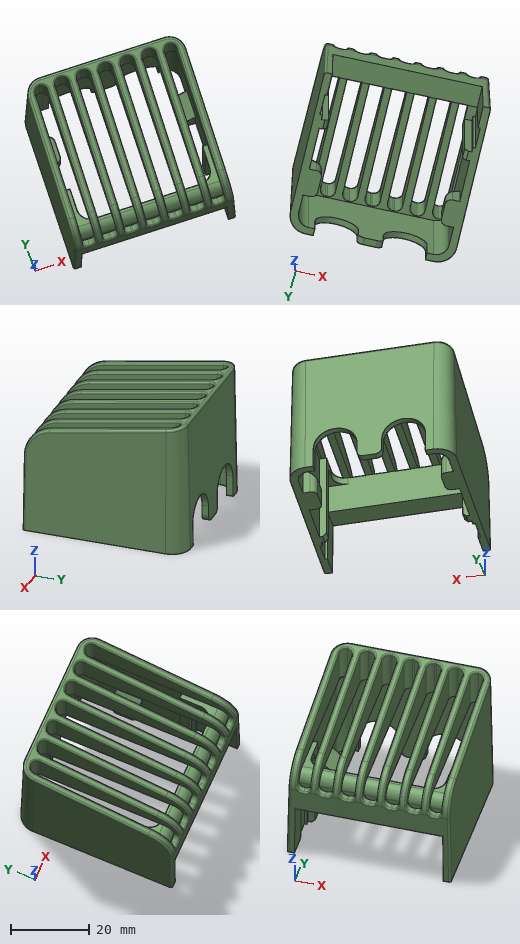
import cadquery as cq
import math


WIDTH = 43.67
DEPTH = 43.99
SIDE_DRAFT = 1.1
FRONT_DRAFT = 0.5
REAR_CORNER_RADIUS = 5.0
ROOF_ANGLE = 10.0
ROOF_REAR_HEIGHT = 35.85
BROW_RADIUS = 8.3
OUTER_EDGE_FILLET = 0.6

SLOT_COUNT = 7
SLOT_PITCH = 5.88
SLOT_WIDTH = 3.95
END_SLOT_WIDTH = 3.52
SLOT_CORNER_RADIUS = 1.75
SLOT_REAR = 19.8
END_SLOT_REAR = 19.4
SLOT_FLOOR = 21.15
SLOT_EDGE_FILLET = 0.45

BLOCK_FRONT = -19.84
BLOCK_REAR = -16.05
BLOCK_NOSE_RADIUS = 3.0
LINTEL_BOTTOM = 15.15

CAVITY_TOP = 25.47
CAVITY_HALF_WIDTH = 19.75
CAVITY_REAR = 20.1
CAVITY_CORNER_RADIUS = 3.4
OPENING_HALF_WIDTH_TOP = 19.62
OPENING_HALF_WIDTH_BOTTOM = 19.8
RECESS_HALF_WIDTH = 20.4
RECESS_REAR = -10.5

RIB_INNER_X = 17.86
RIB_FRONT = -9.3
RIB_REAR = -6.8
RIB_LEAD_IN = 1.0
GUSSET_THICKNESS = 2.0
GUSSET_FILLET = 3.5

TAB_INNER_X = 16.25
TAB_FRONT = 4.55
TAB_REAR = 11.8
TAB_CREST_HEIGHT = 4.9
TAB_SLOPE_RISE = 1.3
TAB_SLOPE_RUN = 1.6
TAB_CORNER_RADIUS = RIB_INNER_X - TAB_INNER_X

ARCH_OFFSET = 9.0
ARCH_RADIUS = 5.73
ARCH_TOP = 11.5
TONGUE_BOTTOM = 1.18
TONGUE_CORNER_RADIUS = 1.6

OVERCUT = 2.0
WALL_OVERLAP = 0.5


def box(x_min, x_max, y_min, y_max, z_min, z_max):
    size = (x_max - x_min, y_max - y_min, z_max - z_min)
    return cq.Workplane("XY").box(*size, centered=False).translate((x_min, y_min, z_min))


def both_sides(solid):
    """A feature of the +X side together with its mirror image on the -X side."""
    return solid.union(solid.mirror("YZ"))


def make_shell():
    """Solid outer form: drafted walls, sloping roof, rounded brow and softened roof edges."""
    side_draft = math.tan(math.radians(SIDE_DRAFT))
    front_draft = math.tan(math.radians(FRONT_DRAFT))
    slope = math.tan(math.radians(ROOF_ANGLE))
    front_y = -DEPTH / 2
    rear_y = DEPTH / 2
    roof_rear_y = rear_y - ROOF_REAR_HEIGHT * side_draft
    brow_height = (ROOF_REAR_HEIGHT - slope * (roof_rear_y - front_y)) / (1 - slope * front_draft)
    brow_y = front_y + brow_height * front_draft

    side_profile = (
        cq.Workplane("YZ")
        .polyline([(front_y, 0), (rear_y, 0), (roof_rear_y, ROOF_REAR_HEIGHT), (brow_y, brow_height)])
        .close()
        .extrude(WIDTH / 2, both=True)
    )
    plan_depth = DEPTH + 2 * OVERCUT
    plan = cq.Sketch().rect(WIDTH, plan_depth).vertices(">Y").fillet(REAR_CORNER_RADIUS)
    walls = (
        cq.Workplane("XY", origin=(0, rear_y - plan_depth / 2, 0))
        .placeSketch(plan)
        .extrude(ROOF_REAR_HEIGHT + OVERCUT, taper=SIDE_DRAFT)
    )
    shell = side_profile.intersect(walls)
    shell = shell.edges(cq.selectors.NearestToPointSelector((0, brow_y, brow_height))).fillet(BROW_RADIUS)
    front_corner = cq.selectors.NearestToPointSelector((WIDTH / 2, front_y, brow_height / 3))
    return shell.edges(front_corner).fillet(OUTER_EDGE_FILLET)


def slot_center(index):
    return (index - (SLOT_COUNT - 1) / 2) * SLOT_PITCH


def make_slots():
    """All slot cutters: vertical round rear ends, round floors at the front."""
    reach = WIDTH + DEPTH
    slots = cq.Workplane("XY")
    for index in range(SLOT_COUNT):
        x = slot_center(index)
        is_end = index in (0, SLOT_COUNT - 1)
        width = END_SLOT_WIDTH if is_end else SLOT_WIDTH
        rear = END_SLOT_REAR if is_end else SLOT_REAR
        inward = math.copysign((SLOT_WIDTH - width) / 2, -x)
        slot = box(-width / 2, width / 2, -DEPTH, rear, SLOT_FLOOR, reach)
        slot = slot.edges("|Z and >Y").fillet(SLOT_CORNER_RADIUS)
        slot = slot.edges("|Y and <Z").fillet(SLOT_CORNER_RADIUS)
        slots = slots.add(slot.translate((x + inward, 0, 0)))
    return slots.combine()


def cut_grille(shell):
    """Cut the slots and round their mouths where they break through the roof and brow."""
    slotted = shell.cut(make_slots())
    mouth_edges = []
    for index in range(SLOT_COUNT):
        x = slot_center(index)
        mouth_rear = cq.selectors.NearestToPointSelector((x, SLOT_REAR, ROOF_REAR_HEIGHT))
        mouth_edges += slotted.edges(mouth_rear).vals()
    return slotted.newObject(mouth_edges).fillet(SLOT_EDGE_FILLET)


def make_cavity():
    """Open-bottomed cavity below the fins, with shallow side recesses near the front."""
    cavity = box(-CAVITY_HALF_WIDTH, CAVITY_HALF_WIDTH, BLOCK_REAR, CAVITY_REAR, -OVERCUT, CAVITY_TOP)
    cavity = cavity.edges("|Z and >Y").fillet(CAVITY_CORNER_RADIUS)
    recess_top = CAVITY_TOP - GUSSET_THICKNESS
    recess = box(-RECESS_HALF_WIDTH, RECESS_HALF_WIDTH, BLOCK_REAR, RECESS_REAR, -OVERCUT, recess_top)
    return cavity.union(recess)


def make_front_opening():
    """Opening between the two front legs, slightly wider at the bottom."""
    return (
        cq.Workplane("XZ", origin=(0, BLOCK_REAR, 0))
        .polyline(
            [
                (-OPENING_HALF_WIDTH_BOTTOM, 0),
                (OPENING_HALF_WIDTH_BOTTOM, 0),
                (OPENING_HALF_WIDTH_TOP, LINTEL_BOTTOM),
                (-OPENING_HALF_WIDTH_TOP, LINTEL_BOTTOM),
            ]
        )
        .close()
        .extrude(DEPTH / 2)
    )


def make_cross_block():
    """Bar behind the slot mouths that ties the fins together, with a rounded upper nose."""
    half_width = CAVITY_HALF_WIDTH + WALL_OVERLAP
    block = box(-half_width, half_width, BLOCK_FRONT, BLOCK_REAR, LINTEL_BOTTOM, CAVITY_TOP)
    return block.edges("|X and <Y and >Z").fillet(BLOCK_NOSE_RADIUS)


def make_side_supports():
    """Corner gussets behind the cross block, each ending in a vertical guide rib."""
    outer_x = RECESS_HALF_WIDTH + WALL_OVERLAP / 2
    gusset_bottom = CAVITY_TOP - GUSSET_THICKNESS
    gusset = (
        cq.Workplane("XY", origin=(0, 0, gusset_bottom))
        .moveTo(outer_x, BLOCK_REAR)
        .lineTo(RIB_INNER_X - GUSSET_FILLET, BLOCK_REAR)
        .radiusArc((RIB_INNER_X, BLOCK_REAR + GUSSET_FILLET), -GUSSET_FILLET)
        .lineTo(RIB_INNER_X, RIB_REAR)
        .lineTo(outer_x, RIB_REAR)
        .close()
        .extrude(GUSSET_THICKNESS)
    )
    rib = box(RIB_INNER_X, outer_x, RIB_FRONT, RIB_REAR, 0, CAVITY_TOP)
    rib = rib.edges("|Y and <X and <Z").chamfer(RIB_LEAD_IN)
    return both_sides(gusset.union(rib))


def make_tabs():
    """Snap tabs on the inner side walls, sloping on top, with rounded inner corners."""
    outer_x = CAVITY_HALF_WIDTH + WALL_OVERLAP
    slope_height = (outer_x - TAB_INNER_X) * TAB_SLOPE_RISE / TAB_SLOPE_RUN
    tab = box(TAB_INNER_X, outer_x, TAB_FRONT, TAB_REAR, 0, TAB_CREST_HEIGHT + slope_height)
    tab = tab.edges("|Z and <X").fillet(TAB_CORNER_RADIUS)
    above_slope = (
        cq.Workplane("XZ", origin=(0, TAB_REAR, 0))
        .moveTo(TAB_INNER_X, TAB_CREST_HEIGHT)
        .lineTo(outer_x, TAB_CREST_HEIGHT + slope_height)
        .lineTo(TAB_INNER_X, TAB_CREST_HEIGHT + slope_height)
        .close()
        .extrude(TAB_REAR - TAB_FRONT)
    )
    return both_sides(tab.cut(above_slope))


def make_rear_arches():
    """Two round-topped openings through the rear wall, leaving a shortened tongue between them."""
    wall_front = CAVITY_REAR - WALL_OVERLAP
    wall_rear = DEPTH / 2 + OVERCUT
    springing = ARCH_TOP - ARCH_RADIUS
    tongue_half_width = ARCH_OFFSET - ARCH_RADIUS
    arch = box(tongue_half_width, ARCH_OFFSET + ARCH_RADIUS, wall_front, wall_rear, -OVERCUT, springing)
    crown = (
        cq.Workplane("XZ", origin=(ARCH_OFFSET, wall_rear, springing))
        .circle(ARCH_RADIUS)
        .extrude(wall_rear - wall_front)
    )
    below_tongue = box(-ARCH_OFFSET, ARCH_OFFSET, wall_front, wall_rear, -OVERCUT, springing)
    tongue = box(-tongue_half_width, tongue_half_width, wall_front, wall_rear, TONGUE_BOTTOM, springing)
    tongue = tongue.edges("|Y and <Z").fillet(TONGUE_CORNER_RADIUS)
    return both_sides(arch.union(crown)).union(below_tongue.cut(tongue))


result = cut_grille(make_shell())
result = result.cut(make_cavity()).cut(make_front_opening()).cut(make_rear_arches())
result = result.union(make_cross_block()).union(make_side_supports()).union(make_tabs())